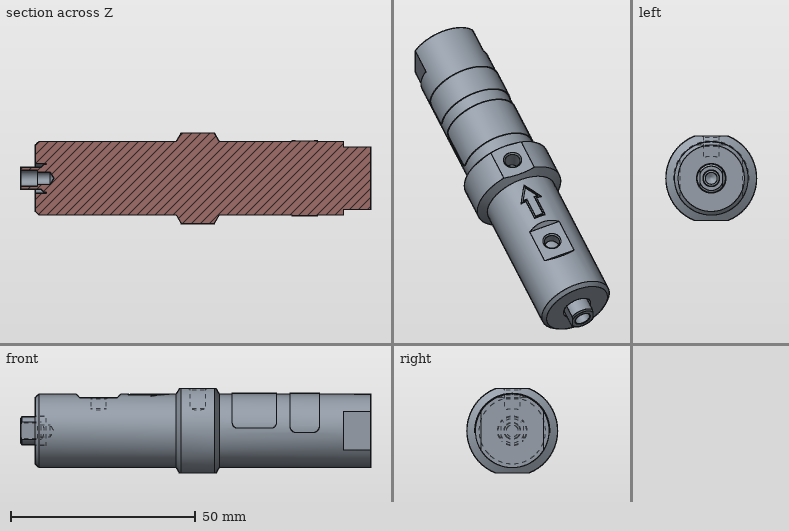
import cadquery as cq
import math

TOTAL_LENGTH = 95.0
STEM_LENGTH = 3.9
BODY_DIAMETER = 20.0
BODY_CHAMFER = 1.0
BODY_RADIUS = BODY_DIAMETER / 2

STEM_DIAMETER = 7.7
STEM_WIDTH = 6.0
STEM_FLAT_LENGTH = 5.5
STEM_TIP_DIAMETER = 6.6
STEM_BEVEL_LENGTH = 0.3
RECESS_DIAMETER = 8.0
RECESS_DEPTH = 3.0

STEM_HOLE_DIAMETER = 3.24
STEM_HOLE_DEPTH = 8.0
STEM_COUNTERBORE_DIAMETER = 4.3
STEM_COUNTERBORE_DEPTH = 4.5
STEM_HOLE_MOUTH = 4.55
DRILL_POINT_ANGLE = 118.0

COLLAR_DIAMETER = 24.7
COLLAR_HEIGHT = 23.0
COLLAR_START = 42.2
COLLAR_LENGTH = 11.7
COLLAR_CONE_ANGLE = 30.0

POCKET_CENTRE = 21.1
POCKET_FLOOR_LENGTH = 10.2
POCKET_FLOOR_HEIGHT = 9.0

PORT_DIAMETER = 4.13
PORT_MOUTH = 4.92
CORE_DIAMETER = 12.0
COLLAR_PORT_X = COLLAR_START + COLLAR_LENGTH / 2

ARROW_TAIL_X = 29.3
ARROW_HEAD_X = 35.3
ARROW_TIP_X = 40.2
ARROW_SHAFT_WIDTH = 3.1
ARROW_HEAD_WIDTH = 6.0
ARROW_GROOVE_WIDTH = 0.45
ARROW_GROOVE_DEPTH = 0.2

LABEL_THICKNESS = 0.2
LABELS = [
    (57.4, 12.0, 0.7, 1.5),
    (73.05, 8.0, -0.5, 1.8),
]

WRENCH_WIDTH = 17.0
WRENCH_LENGTH = 7.35


def x_cylinder(diameter, start, length):
    return cq.Workplane("YZ").workplane(offset=start).circle(diameter / 2).extrude(length)


def make_port(x, mouth_height):
    """Countersunk vertical port that ends on the round core."""
    countersink = (PORT_MOUTH - PORT_DIAMETER) / 2
    bore = cq.Workplane("XY").circle(PORT_DIAMETER / 2).extrude(mouth_height)
    mouth = (
        cq.Workplane("XY")
        .workplane(offset=mouth_height)
        .circle(PORT_MOUTH / 2)
        .workplane(offset=-countersink)
        .circle(PORT_DIAMETER / 2)
        .loft()
    )
    port = bore.union(mouth).translate((x, 0, 0))
    return port.cut(x_cylinder(CORE_DIAMETER, 0, TOTAL_LENGTH))


def make_stem_hole():
    radius = STEM_HOLE_DIAMETER / 2
    counterbore_radius = STEM_COUNTERBORE_DIAMETER / 2
    mouth_radius = STEM_HOLE_MOUTH / 2
    point_length = radius / math.tan(math.radians(DRILL_POINT_ANGLE / 2))
    return (
        cq.Workplane("XY")
        .moveTo(0, 0)
        .lineTo(0, mouth_radius)
        .lineTo(mouth_radius - counterbore_radius, counterbore_radius)
        .lineTo(STEM_COUNTERBORE_DEPTH, counterbore_radius)
        .lineTo(STEM_COUNTERBORE_DEPTH, radius)
        .lineTo(STEM_HOLE_DEPTH, radius)
        .lineTo(STEM_HOLE_DEPTH + point_length, 0)
        .close()
        .revolve(360, (0, 0, 0), (1, 0, 0))
    )


def make_body():
    body = x_cylinder(BODY_DIAMETER, STEM_LENGTH, TOTAL_LENGTH - STEM_LENGTH)
    body = body.faces("<X").chamfer(BODY_CHAMFER)
    return body.cut(x_cylinder(RECESS_DIAMETER, STEM_LENGTH, RECESS_DEPTH))


def make_stem():
    length = STEM_LENGTH + RECESS_DEPTH
    half_width = STEM_WIDTH / 2
    radius = STEM_DIAMETER / 2
    pin = (
        cq.Workplane("XY")
        .moveTo(0, 0)
        .lineTo(0, STEM_TIP_DIAMETER / 2)
        .lineTo(STEM_BEVEL_LENGTH, radius)
        .lineTo(length, radius)
        .lineTo(length, 0)
        .close()
        .revolve(360, (0, 0, 0), (1, 0, 0))
    )
    ramp_end = STEM_FLAT_LENGTH + radius - half_width
    flats = (
        cq.Workplane("XY")
        .moveTo(0, -half_width)
        .lineTo(STEM_FLAT_LENGTH, -half_width)
        .lineTo(ramp_end, -radius)
        .lineTo(length, -radius)
        .lineTo(length, radius)
        .lineTo(ramp_end, radius)
        .lineTo(STEM_FLAT_LENGTH, half_width)
        .lineTo(0, half_width)
        .close()
        .extrude(radius, both=True)
    )
    return pin.intersect(flats)


def make_collar():
    outer_radius = COLLAR_DIAMETER / 2
    cone_length = (outer_radius - BODY_RADIUS) * math.tan(math.radians(COLLAR_CONE_ANGLE))
    end = COLLAR_START + COLLAR_LENGTH
    collar = (
        cq.Workplane("XY")
        .moveTo(COLLAR_START, 0)
        .lineTo(COLLAR_START, BODY_RADIUS)
        .lineTo(COLLAR_START + cone_length, outer_radius)
        .lineTo(end - cone_length, outer_radius)
        .lineTo(end, BODY_RADIUS)
        .lineTo(end, 0)
        .close()
        .revolve(360, (0, 0, 0), (1, 0, 0))
    )
    flats = cq.Workplane("XY").box(
        COLLAR_LENGTH, COLLAR_DIAMETER, COLLAR_HEIGHT, centered=(False, True, True)
    )
    return collar.intersect(flats.translate((COLLAR_START, 0, 0)))


def make_label(start, length, lower_edge, corner_radius):
    """Thin plate wrapped over the top of the body, with rounded lower corners."""
    outer_diameter = BODY_DIAMETER + 2 * LABEL_THICKNESS
    plate = x_cylinder(outer_diameter, start, length).cut(x_cylinder(BODY_DIAMETER, start, length))
    window = (
        cq.Workplane("XY")
        .box(length, outer_diameter, outer_diameter, centered=(False, True, False))
        .edges("|Y and <Z")
        .fillet(corner_radius)
        .translate((start, 0, lower_edge))
    )
    return plate.intersect(window)


def make_pocket():
    depth = BODY_RADIUS - POCKET_FLOOR_HEIGHT
    half_floor = POCKET_FLOOR_LENGTH / 2
    return (
        cq.Workplane("XZ")
        .moveTo(POCKET_CENTRE - half_floor, POCKET_FLOOR_HEIGHT)
        .lineTo(POCKET_CENTRE + half_floor, POCKET_FLOOR_HEIGHT)
        .lineTo(POCKET_CENTRE + half_floor + depth, BODY_RADIUS)
        .lineTo(POCKET_CENTRE - half_floor - depth, BODY_RADIUS)
        .close()
        .extrude(BODY_RADIUS, both=True)
    )


def make_arrow_groove():
    half_shaft = ARROW_SHAFT_WIDTH / 2
    half_head = ARROW_HEAD_WIDTH / 2
    corners = [
        (ARROW_TAIL_X, -half_shaft),
        (ARROW_HEAD_X, -half_shaft),
        (ARROW_HEAD_X, -half_head),
        (ARROW_TIP_X, 0),
        (ARROW_HEAD_X, half_head),
        (ARROW_HEAD_X, half_shaft),
        (ARROW_TAIL_X, half_shaft),
    ]
    arrow = cq.Workplane("XY").polyline(corners).close()
    inner_arrow = cq.Workplane("XY").polyline(corners).close().offset2D(-ARROW_GROOVE_WIDTH, "intersection")
    groove = arrow.extrude(BODY_DIAMETER).cut(inner_arrow.extrude(BODY_DIAMETER))
    core_diameter = BODY_DIAMETER - 2 * ARROW_GROOVE_DEPTH
    return groove.cut(x_cylinder(core_diameter, 0, TOTAL_LENGTH))


def make_wrench_cut(side):
    cut_depth = BODY_RADIUS - WRENCH_WIDTH / 2
    cut = cq.Workplane("XY").box(WRENCH_LENGTH, cut_depth, BODY_DIAMETER)
    centre_y = (WRENCH_WIDTH + cut_depth) / 2
    return cut.translate((TOTAL_LENGTH - WRENCH_LENGTH / 2, side * centre_y, 0))


result = make_body().union(make_stem()).union(make_collar())
for label in LABELS:
    result = result.union(make_label(*label))

result = result.cut(make_pocket()).cut(make_arrow_groove())
for side in (-1, 1):
    result = result.cut(make_wrench_cut(side))

result = result.cut(make_port(POCKET_CENTRE, POCKET_FLOOR_HEIGHT))
result = result.cut(make_port(COLLAR_PORT_X, COLLAR_HEIGHT / 2))
result = result.cut(make_stem_hole())